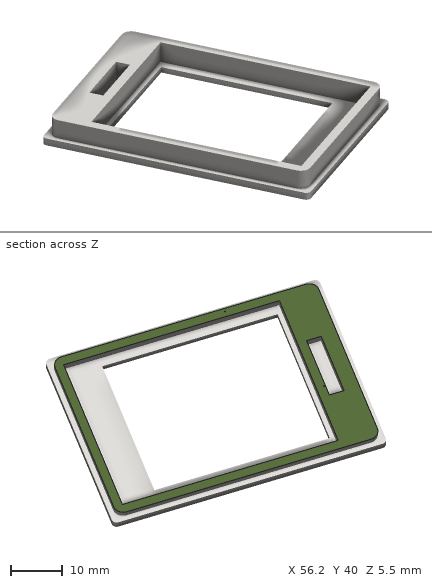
import cadquery as cq

length = 56.25
width = 40.0
height = 5.5

flange_thickness = 1.5
flange_overhang = 1.0
flange_corner_radius = 1.0
body_corner_radius = 2.0

recess_left = -18.95
recess_right = 25.25
recess_width = 34.05
floor_thickness = 1.2

window_length = 36.0
window_width = 30.25

slot_left = -23.85
slot_length = 2.9
slot_width = 13.15
slot_floor = floor_thickness


def block(size_x, size_y, bottom, top, center_x=0):
    """Rectangular block between two heights, centred on the X axis."""
    return (
        cq.Workplane("XY", origin=(center_x, 0, bottom))
        .rect(size_x, size_y)
        .extrude(top - bottom)
    )


flange = block(length, width, 0, flange_thickness).edges("|Z").fillet(flange_corner_radius)

body_length = length - 2 * flange_overhang
body_width = width - 2 * flange_overhang
body = block(body_length, body_width, 0, height).edges("|Z").fillet(body_corner_radius)

recess_length = recess_right - recess_left
recess_center = (recess_left + recess_right) / 2
recess = block(recess_length, recess_width, floor_thickness, height, recess_center)

window = block(window_length, window_width, 0, floor_thickness)

slot_center = slot_left + slot_length / 2
slot = block(slot_length, slot_width, slot_floor, height, slot_center)

result = flange.union(body).cut(recess).cut(window).cut(slot)